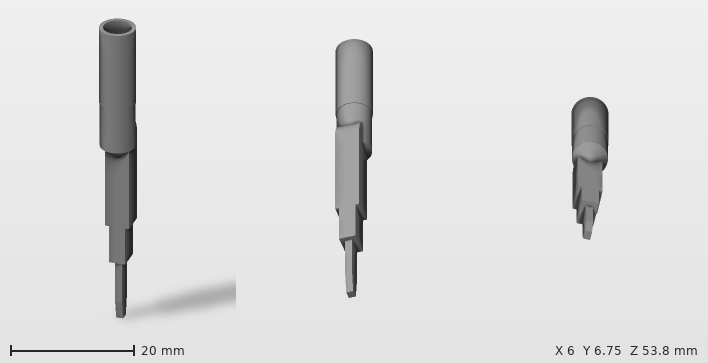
import cadquery as cq

total_height = 53.8
sleeve_bottom = 40.15
barrel_bottom = 32.15
bar_bottom = 17.25
neck_bottom = 10.65
taper_top = 3.25

sleeve_radius = 3.0
barrel_radius = 2.9
cone_height = 2.5
upper_bore_radius = 2.35
lower_bore_radius = 2.1

bar_size = 4.1
bar_back = 3.75
bar_center = bar_back - bar_size / 2
bar_shoulder = 33.3
bar_round_radius = 3.3
bar_top = bar_shoulder + bar_round_radius

neck_width = 2.8
blade_width = 1.2
blade_depth = 2.5
tip_depth = 1.4


def bar_block(width, bottom, top):
    """Full-depth block centred on the bar."""
    return (
        cq.Workplane("XY", origin=(0, bar_center, bottom))
        .rect(width, bar_size)
        .extrude(top - bottom)
    )


def make_socket():
    """Stepped cylinder with a conical lower end."""
    return (
        cq.Workplane("XZ")
        .moveTo(0, barrel_bottom - cone_height)
        .lineTo(barrel_radius, barrel_bottom)
        .lineTo(barrel_radius, sleeve_bottom)
        .lineTo(sleeve_radius, sleeve_bottom)
        .lineTo(sleeve_radius, total_height)
        .lineTo(0, total_height)
        .close()
        .revolve(360, (0, 0, 0), (0, 1, 0))
    )


def make_bore():
    """Stepped blind bore whose floor is level with the top of the bar."""
    upper = (
        cq.Workplane("XY", origin=(0, 0, sleeve_bottom))
        .circle(upper_bore_radius)
        .extrude(total_height - sleeve_bottom)
    )
    lower = (
        cq.Workplane("XY", origin=(0, 0, bar_top))
        .circle(lower_bore_radius)
        .extrude(sleeve_bottom - bar_top)
    )
    return upper.union(lower)


def make_bar():
    """Square bar with its upper back edge rounded into the socket."""
    bar = bar_block(bar_size, bar_bottom, bar_top)
    return bar.faces(">Y").edges(">Z").fillet(bar_round_radius)


def make_blade():
    """Flat blade whose depth tapers to a blunt tip."""
    half_blade = blade_depth / 2
    half_tip = tip_depth / 2
    return (
        cq.Workplane("YZ")
        .polyline([
            (bar_center - half_tip, 0),
            (bar_center + half_tip, 0),
            (bar_center + half_blade, taper_top),
            (bar_center + half_blade, neck_bottom),
            (bar_center - half_blade, neck_bottom),
            (bar_center - half_blade, taper_top),
        ])
        .close()
        .extrude(blade_width / 2, both=True)
    )


neck = bar_block(neck_width, neck_bottom, bar_bottom)
body = make_socket().union(make_bar()).union(neck).union(make_blade())
result = body.cut(make_bore())